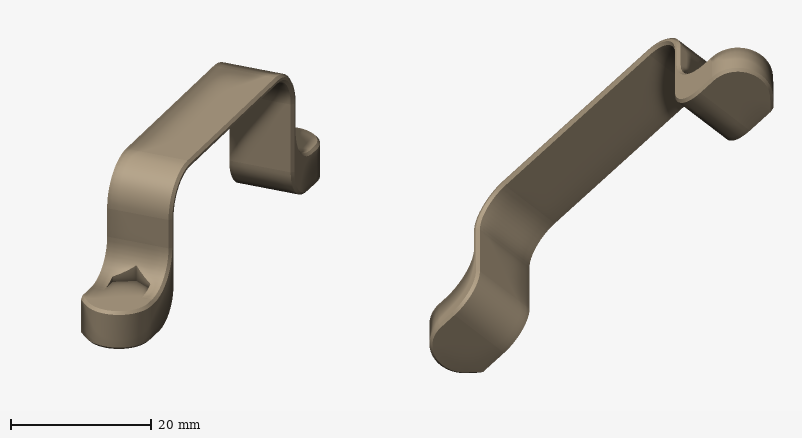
import cadquery as cq
import math

length = 67.7
width = 10.0
height = 22.6
strap_thickness = 1.2
grip_length = 43.6
foot_thickness = 5.95
inner_radius = 5.35
outer_radius = inner_radius + strap_thickness
foot_fillet = 5.6
edge_chamfer = 0.4

hex_flats = 5.95
hex_depth = foot_thickness / 2

half_length = length / 2
half_width = width / 2
leg_outer = grip_length / 2
leg_inner = leg_outer - strap_thickness
end_center = half_length - half_width
front_insert_y = -26.2
back_insert_y = end_center
tolerance = 0.001


def side_block(y, bottom, top):
    """Full-width box spanning -y to y between two heights."""
    return cq.Workplane("XY").box(width, 2 * y, top - bottom).translate((0, 0, (bottom + top) / 2))


def handle_profile():
    """Strap bent into a grip, two legs and two feet, with all bends rounded."""
    feet = side_block(half_length, 0, foot_thickness)
    arch = side_block(leg_outer, 0, height)
    opening = side_block(leg_inner, 0, height - strap_thickness)
    body = feet.union(arch)
    body = body.edges("|X").edges(">Z").fillet(outer_radius)
    inside_corners = cq.selectors.BoxSelector(
        (-width, -leg_outer - tolerance, foot_thickness - tolerance),
        (width, leg_outer + tolerance, foot_thickness + tolerance),
    )
    body = body.edges("|X").edges(inside_corners).fillet(foot_fillet)
    body = body.cut(opening.edges("|X").edges(">Z").fillet(inner_radius))
    heels = cq.selectors.BoxSelector(
        (-width, -leg_inner - tolerance, -tolerance),
        (width, leg_inner + tolerance, tolerance),
    )
    return body.edges("|X").edges(heels).fillet(inner_radius)


def plan_outline():
    """Plan shape: round ends that run into the -X side along 45 degree tangents."""
    diagonal = half_width * math.sqrt(0.5)
    corner_y = end_center + 2 * diagonal - half_width
    return (
        cq.Workplane("XY")
        .moveTo(-half_width, -corner_y)
        .lineTo(-diagonal, -end_center - diagonal)
        .threePointArc((0, -half_length), (half_width, -end_center))
        .lineTo(half_width, end_center)
        .threePointArc((0, half_length), (-diagonal, end_center + diagonal))
        .lineTo(-half_width, corner_y)
        .close()
        .extrude(height)
    )


def needs_chamfer(edge):
    """True for rim edges of the +X side and of the rounded foot ends."""
    box = edge.BoundingBox()
    on_plus_side = box.xmin > half_width - tolerance
    beside_end = abs(edge.Center().y) > end_center - tolerance
    upright = box.zmax - box.zmin > tolerance
    on_minus_side = box.xmax < -half_width + tolerance
    if beside_end:
        return not upright and not on_minus_side
    return on_plus_side


def hexagonal_prism(center_y, prism_height):
    """Hexagonal prism with corners toward +Y and -Y, standing on the recess floor."""
    return (
        cq.Workplane("XY")
        .polygon(6, hex_flats, circumscribed=True)
        .extrude(prism_height)
        .translate((0, center_y, foot_thickness - hex_depth))
    )


handle = handle_profile().intersect(plan_outline())
rim_edges = [edge for edge in handle.edges().vals() if needs_chamfer(edge)]
handle = handle.newObject(rim_edges).chamfer(edge_chamfer)

inserts = []
for center_y in (front_insert_y, back_insert_y):
    recess = hexagonal_prism(center_y, height / 2)
    handle = handle.cut(recess)
    insert = hexagonal_prism(center_y, hex_depth)
    inserts.append(insert.val())

result = cq.Compound.makeCompound([handle.val(), *inserts])